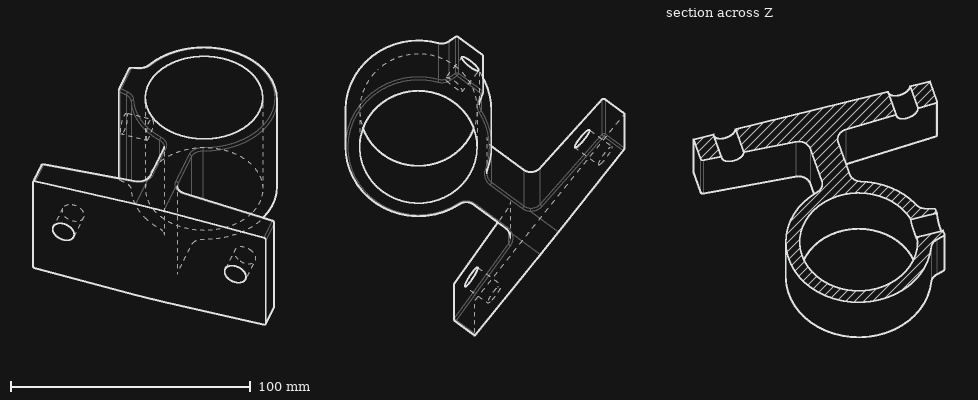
import cadquery as cq
import math

height = 53.5
flange_length = 103.0
half_height = height / 2
half_flange = flange_length / 2

ring_radius = 30.5
bore_diameter = 49.0
ring_center_y = 69.0

stem_width = 12.3
half_stem = stem_width / 2

flange_root_thickness = 14.0
flange_slope = math.radians(3.0)
flange_end_thickness = flange_root_thickness - half_flange * math.tan(flange_slope)
flange_draft = math.radians(1.5)
draft_start_gap = 0.05
draft_start_x = half_stem + draft_start_gap
mounting_hole_diameter = 9.5
mounting_hole_spacing = 76.0

lug_end_x = -35.5
lug_end_half_width = 7.05
lug_flare = math.radians(17.0)
lug_hole_diameter = 9.0
lug_root_half_width = lug_end_half_width - lug_end_x * math.tan(lug_flare)

inner_fillet = 5.0
edge_fillet = 1.0

overshoot = 1.0

tolerance = 1e-3


def extrude_full_height(sketch):
    """Extrude a plan outline over the whole height, centred on Z = 0."""
    return sketch.extrude(half_height, both=True)


def make_flange_and_stem():
    outline = cq.Workplane("XY").polyline([
        (-half_flange, 0),
        (half_flange, 0),
        (half_flange, flange_end_thickness),
        (0, flange_root_thickness),
        (-half_flange, flange_end_thickness),
    ]).close()
    stem = cq.Workplane("XY").center(0, ring_center_y / 2).rect(stem_width, ring_center_y)
    return extrude_full_height(outline).union(extrude_full_height(stem))


def make_lug():
    outline = cq.Workplane("XY").center(0, ring_center_y).polyline([
        (lug_end_x, -lug_end_half_width),
        (lug_end_x, lug_end_half_width),
        (0, lug_root_half_width),
        (0, -lug_root_half_width),
    ]).close()
    return extrude_full_height(outline)


def make_ring():
    return extrude_full_height(cq.Workplane("XY").center(0, ring_center_y).circle(ring_radius))


def inner_corner_edges(body):
    """Vertical edges where the stem and the lug meet the ring and the flange."""
    stem_ring_y = ring_center_y - math.sqrt(ring_radius**2 - half_stem**2)
    stem_flange_y = flange_root_thickness - half_stem * math.tan(flange_slope)

    side_distance = lug_root_half_width * math.cos(lug_flare)
    lug_angle = math.pi - math.asin(side_distance / ring_radius) + lug_flare
    lug_x = ring_radius * math.cos(lug_angle)
    lug_y = ring_radius * math.sin(lug_angle)

    corners = []
    for side in (-1, 1):
        corners.append((side * half_stem, stem_ring_y))
        corners.append((side * half_stem, stem_flange_y))
        corners.append((lug_x, ring_center_y + side * lug_y))

    edges = body.edges(cq.selectors.NearestToPointSelector((*corners[0], 0)))
    for corner in corners[1:]:
        edges = edges.add(body.edges(cq.selectors.NearestToPointSelector((*corner, 0))))
    return edges


def make_draft_cutter(x_side, z_side):
    """Wedge that lowers one Z face of the flange from beside the stem to the flange end."""
    reach = half_flange + overshoot - draft_start_x
    drop = reach * math.tan(flange_draft)
    depth = flange_root_thickness + inner_fillet
    wedge = cq.Workplane("XZ").polyline([
        (x_side * draft_start_x, z_side * half_height),
        (x_side * (draft_start_x + reach), z_side * (half_height - drop)),
        (x_side * (draft_start_x + reach), z_side * half_height),
    ]).close()
    return wedge.extrude(-depth)


def is_outer_edge(edge):
    """Tell whether an edge belongs to the rounded outer rim or an outer vertical corner."""
    box = edge.BoundingBox()
    middle = edge.Center()
    if box.ymax < tolerance:
        return False
    if box.zmin < 0 < box.zmax:
        at_flange_end = abs(abs(middle.x) - half_flange) < tolerance
        at_lug_end = abs(middle.x - lug_end_x) < tolerance
        return at_flange_end or at_lug_end
    is_draft_line = box.ymin < tolerance and abs(abs(middle.x) - draft_start_x) < tolerance
    return not is_draft_line


def round_outer_edges(body):
    """Round the rim and outer corners; the mounting face and the bore stay sharp."""
    return body.edges().filter(is_outer_edge).fillet(edge_fillet)


def cut_bore(body):
    bore = cq.Workplane("XY").center(0, ring_center_y).circle(bore_diameter / 2)
    return body.cut(extrude_full_height(bore))


def cut_mounting_holes(body):
    """Two holes through the flange, parallel to Y."""
    half_spacing = mounting_hole_spacing / 2
    holes = (
        cq.Workplane("XZ")
        .pushPoints([(-half_spacing, 0), (half_spacing, 0)])
        .circle(mounting_hole_diameter / 2)
        .extrude(-flange_root_thickness)
    )
    return body.cut(holes)


def cut_lug_hole(body):
    """Screw hole along X from the lug end into the bore."""
    hole = (
        cq.Workplane("YZ", origin=(lug_end_x, ring_center_y, 0))
        .circle(lug_hole_diameter / 2)
        .extrude(-lug_end_x)
    )
    return body.cut(hole)


body = make_flange_and_stem().union(make_ring()).union(make_lug())
body = inner_corner_edges(body).fillet(inner_fillet)
for x_side in (-1, 1):
    for z_side in (-1, 1):
        body = body.cut(make_draft_cutter(x_side, z_side))
body = round_outer_edges(body)
body = cut_bore(body)
body = cut_mounting_holes(body)
body = cut_lug_hole(body)

result = body